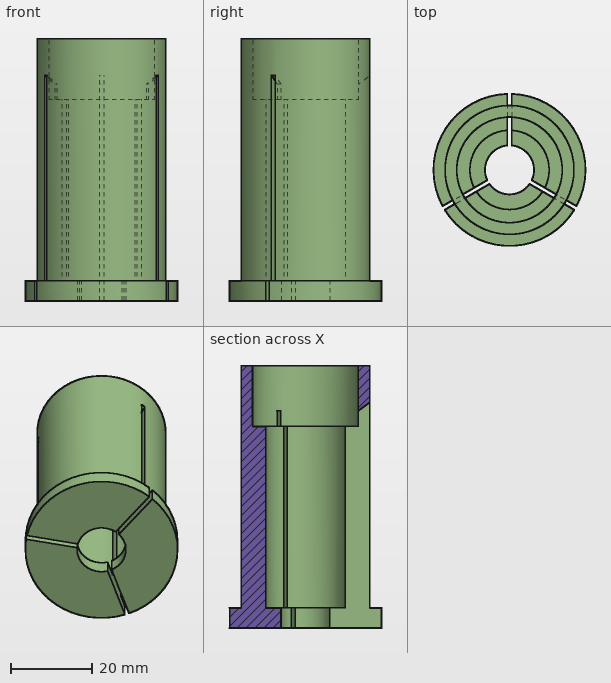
import cadquery as cq

total_height = 64.6
flange_diameter = 37.5
flange_height = 5.0
tube_diameter = 31.7

upper_bore_diameter = 26.0
upper_bore_depth = 15.0
middle_bore_diameter = 19.5
middle_bore_floor = flange_height
through_hole_diameter = 12.0

slot_count = 3
slot_width = 1.05
slot_height = 55.55
slot_end_drop = 2.1
first_slot_angle = 90.0


def cylinder(diameter, bottom, top):
    """Vertical cylinder on the Z axis between two heights."""
    return cq.Workplane("XY").workplane(offset=bottom).circle(diameter / 2).extrude(top - bottom)


def radial_slot(angle):
    """Cutter from the axis past the flange rim, with its end sloping down towards the axis."""
    tube_radius = tube_diameter / 2
    bore_radius = upper_bore_diameter / 2
    profile = [
        (0, 0),
        (flange_diameter, 0),
        (flange_diameter, slot_height),
        (tube_radius, slot_height),
        (bore_radius, slot_height - slot_end_drop),
        (0, slot_height - slot_end_drop),
    ]
    cutter = cq.Workplane("XZ").polyline(profile).close().extrude(slot_width / 2, both=True)
    return cutter.rotate((0, 0, 0), (0, 0, 1), angle)


result = cylinder(tube_diameter, 0, total_height).union(cylinder(flange_diameter, 0, flange_height))

upper_bore_floor = total_height - upper_bore_depth
result = result.cut(cylinder(upper_bore_diameter, upper_bore_floor, total_height))
result = result.cut(cylinder(middle_bore_diameter, middle_bore_floor, upper_bore_floor))
result = result.cut(cylinder(through_hole_diameter, 0, middle_bore_floor))

for index in range(slot_count):
    result = result.cut(radial_slot(first_slot_angle + index * 360.0 / slot_count))